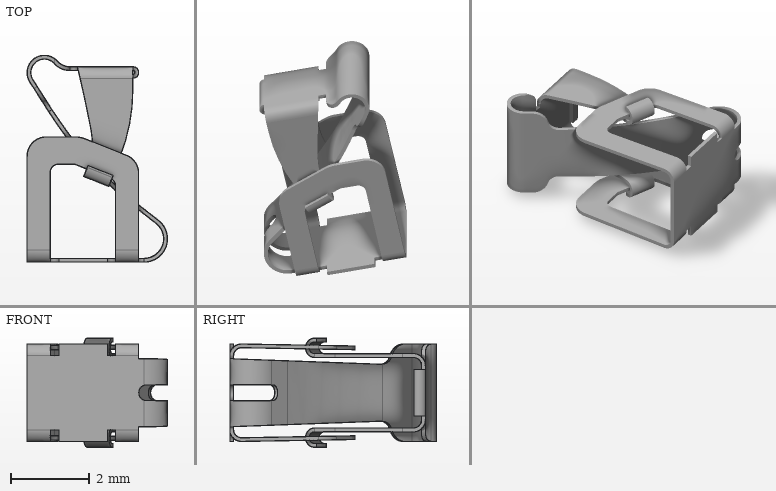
import cadquery as cq
import math

overall_length = 5.3
overall_height = 2.8
overall_width = 3.6
sheet = 0.1
half_sheet = sheet / 2
bend_outer = 0.3
bend_inner = bend_outer - sheet

frame_width = 2.86
plate_half_height = 1.25
arm_fold_z = plate_half_height - bend_outer
arm_width = 0.6
tab_left = 0.815
tab_right = 2.065

arm_lean = 1.0
arm_end = 3.21
arm_band = 0.705
knee_x = 1.225
slope_angle = 21.7
arm_left_radius = 0.5
arm_right_radius = 0.5
arm_inner_radius = 0.2

lower_radius = 0.6
lower_mid = lower_radius - half_sheet
lower_center = (overall_width - lower_radius, lower_radius)
lower_heading = 142.0
upper_heading = 122.5
leaf_radius = 9.75
leaf_root_half = 0.875
leaf_neck_half = 0.73
shoulder_radius = 0.425
neck_radius = 0.3
loop_radius = 0.445
loop_mid = loop_radius - half_sheet
loop_center = (loop_radius, overall_length - loop_radius)
slot_half = 0.2
slot_end_x = 2.86
slot_overrun = 0.055

bar_back = 5.01
bar_mid = bar_back - half_sheet
bar_start = 1.095
loop_corner_radius = 0.4
bar_end = 2.715
bar_half = 0.6
hem_outer = frame_width - bar_end
hem_tail_x = 2.535
flap_top = 1.0
flap_fold_z = flap_top - bend_outer
flap_left = 1.29
flap_waist = (1.645, 3.36)
flap_upper_bulge = (1.505, 4.045)
flap_lower_bulge = (1.66, 2.89)
flap_right_radius = 4.665
flap_right_straight = 4.42

hook_start = (1.54, 2.43)
hook_length = 0.695
hook_lip = 0.055
hook_top = overall_height / 2
hook_outer = (hook_top - flap_top + sheet) / 2


def polar(center, radius, angle):
    """Point at an angle in degrees on a circle."""
    a = math.radians(angle)
    return (center[0] + radius * math.cos(a), center[1] + radius * math.sin(a))


def ring_sector(plane, center, outer, start, end):
    """Closed outline, one sheet thick, of a bend between two angles."""
    inner = outer - sheet
    middle = (start + end) / 2
    return (
        cq.Workplane(plane)
        .moveTo(*polar(center, outer, start))
        .threePointArc(polar(center, outer, middle), polar(center, outer, end))
        .lineTo(*polar(center, inner, end))
        .threePointArc(polar(center, inner, middle), polar(center, inner, start))
        .close()
    )


def bend(center, outer, start, end, half_height):
    """Bend in the XY plane, centered on z = 0."""
    return ring_sector("XY", center, outer, start, end).extrude(half_height, both=True)


def block(x0, x1, y0, y1, half_height):
    """Box centered on z = 0."""
    box = cq.Workplane("XY").box(x1 - x0, y1 - y0, 2 * half_height, centered=(False, False, True))
    return box.translate((x0, y0, 0))


def round_corner(prism, corner, radius):
    """Round the upright edge of a full-height prism that stands on an XY corner."""
    nearest = cq.selectors.NearestToPointSelector((*corner, overall_height / 2))
    return prism.edges(nearest).fillet(radius)


def folded_sheet(fold_y, fold_z, start, end, length):
    """Quarter fold about an X axis followed by a straight sheet leaving its end."""
    center = (fold_y, fold_z)
    fold = ring_sector("YZ", center, bend_outer, start, end).extrude(overall_width)
    onward = end + math.copysign(90, end - start)
    outer_end = polar(center, bend_outer, end)
    inner_end = polar(center, bend_inner, end)
    outer_tip = polar(outer_end, length, onward)
    inner_tip = polar(inner_end, length, onward)
    straight = (
        cq.Workplane("YZ")
        .polyline([outer_end, outer_tip, inner_tip, inner_end])
        .close()
        .extrude(overall_width)
    )
    return fold.union(straight)


def both_sides(body):
    """The body together with its mirror image below the XY plane."""
    return body.union(body.mirror("XY"))


def base_plate():
    plate = block(0, frame_width, 0, sheet, arm_fold_z)
    tab = block(tab_left, tab_right, 0, sheet, plate_half_height)
    root = block(frame_width, lower_center[0], 0, sheet, leaf_root_half)
    return plate.union(tab).union(root)


def arm():
    knee = (knee_x, arm_end - arm_band)
    slope = math.radians(slope_angle)
    slope_start = polar(knee, arm_band, 90 - slope_angle)
    right_corner_y = slope_start[1] - (frame_width - slope_start[0]) * math.tan(slope)
    inner_right = frame_width - arm_width
    inner_corner_y = knee[1] - (inner_right - knee_x) * math.tan(slope)
    outer = (
        cq.Workplane("XY")
        .lineTo(0, arm_end)
        .lineTo(knee_x, arm_end)
        .threePointArc(polar(knee, arm_band, 90 - slope_angle / 2), slope_start)
        .lineTo(frame_width, right_corner_y)
        .lineTo(frame_width, 0)
        .close()
        .extrude(overall_height)
    )
    outer = round_corner(outer, (0, arm_end), arm_left_radius)
    outer = round_corner(outer, (frame_width, right_corner_y), arm_right_radius)
    window = (
        cq.Workplane("XY")
        .moveTo(arm_width, 0)
        .lineTo(arm_width, knee[1])
        .lineTo(*knee)
        .lineTo(inner_right, inner_corner_y)
        .lineTo(inner_right, 0)
        .close()
        .extrude(overall_height)
    )
    for corner in [(arm_width, knee[1]), (inner_right, inner_corner_y)]:
        window = round_corner(window, corner, arm_inner_radius)
    sheet_body = folded_sheet(bend_outer, arm_fold_z, 180, 90 - arm_lean, overall_length)
    return sheet_body.intersect(outer.cut(window))


def leaf():
    rise_start = polar(lower_center, lower_mid, lower_heading - 90)
    rise_end = polar(loop_center, loop_mid, upper_heading + 90)
    turn = math.radians(lower_heading - upper_heading)
    span = (rise_end[0] - rise_start[0], rise_end[1] - rise_start[1])
    upper = polar((0, 0), 1, upper_heading)
    lower = polar((0, 0), 1, lower_heading)
    to_corner = (span[0] * upper[1] - span[1] * upper[0]) / (lower[0] * upper[1] - lower[1] * upper[0])
    tangent = leaf_radius * math.tan(turn / 2)
    corner = polar(rise_start, to_corner, lower_heading)
    neck = polar(corner, tangent, upper_heading)
    leaf_center = polar(neck, leaf_radius, upper_heading - 90)
    lower_length = to_corner - tangent

    straight = (
        cq.Workplane(cq.Plane((*rise_start, 0), (*lower, 0), (0, 0, 1)))
        .rect(lower_length, sheet)
        .extrude(leaf_root_half, both=True)
        .translate((lower[0] * lower_length / 2, lower[1] * lower_length / 2, 0))
    )
    taper = (
        cq.Workplane("YZ")
        .polyline([
            (0, leaf_root_half),
            (neck[1], leaf_neck_half),
            (overall_length, leaf_neck_half),
            (overall_length, -leaf_neck_half),
            (neck[1], -leaf_neck_half),
            (0, -leaf_root_half),
        ])
        .close()
        .extrude(overall_width)
    )
    lower_bend = bend(lower_center, lower_radius, -90, lower_heading - 90, leaf_root_half)
    leaf_outer = leaf_radius + half_sheet
    shallow = bend(leaf_center, leaf_outer, upper_heading + 90, lower_heading + 90, leaf_root_half)
    lower_leaf = lower_bend.union(straight).union(shallow).intersect(taper)

    widening = plate_half_height - leaf_neck_half
    radii = neck_radius + shoulder_radius
    sweep = math.degrees(math.acos(1 - widening / radii))
    blend = radii * math.sin(math.radians(sweep))
    hollow = (0, leaf_neck_half + neck_radius)
    rounding = (blend, plate_half_height - shoulder_radius)
    length = math.dist(neck, rise_end)
    shoulder = (
        cq.Workplane(cq.Plane((*neck, 0), (*upper, 0), (upper[1], -upper[0], 0)))
        .lineTo(0, leaf_neck_half)
        .threePointArc(polar(hollow, neck_radius, -90 + sweep / 2), polar(hollow, neck_radius, -90 + sweep))
        .threePointArc(polar(rounding, shoulder_radius, 90 + sweep / 2), (blend, plate_half_height))
        .lineTo(length, plate_half_height)
        .lineTo(length, 0)
        .close()
        .extrude(half_sheet, both=True)
    )
    return lower_leaf.union(both_sides(shoulder))


def leaf_slot():
    root_x = slot_end_x + slot_half
    root_end = cq.Workplane("XZ").center(root_x, 0).circle(slot_half).extrude(-lower_radius)
    root = block(root_x, overall_width, 0, lower_radius, slot_half)
    around = bend(lower_center, lower_radius, 0, lower_heading - 90, slot_half)
    along = polar((0, 0), 1, lower_heading)
    rise_start = polar(lower_center, lower_mid, lower_heading - 90)
    rise_plane = cq.Workplane(cq.Plane((*rise_start, 0), (*along, 0), (along[1], -along[0], 0)))
    rise_end = rise_plane.center(slot_overrun, 0).circle(slot_half).extrude(sheet, both=True)
    rise = rise_plane.rect(2 * slot_overrun, 2 * slot_half).extrude(sheet, both=True)
    return root_end.union(root).union(around).union(rise).union(rise_end)


def loop():
    dx = bar_start - loop_center[0]
    dy = bar_mid - loop_center[1]
    return_mid = (dx ** 2 + dy ** 2 - loop_mid ** 2) / (2 * (loop_mid - dy))
    return_center = (bar_start, bar_mid + return_mid)
    join = math.degrees(math.atan2(dy + return_mid, dx))
    top = bend(loop_center, loop_radius, join, upper_heading + 90, plate_half_height)
    back = bend(return_center, return_mid + half_sheet, join + 180, 270, plate_half_height)
    rounded = (
        cq.Workplane("XZ")
        .rect(2 * bar_start, 2 * plate_half_height)
        .extrude(-overall_length)
        .edges("|Y and >X")
        .fillet(loop_corner_radius)
    )
    return top.union(back).intersect(rounded)


def contact_bar():
    front = bar_back - sheet
    bar = block(bar_start, bar_end, front, bar_back, bar_half)
    folded = block(flap_left, bar_end, front, bar_back, flap_fold_z)
    hem_center = (bar_end, bar_back - hem_outer)
    hem = bend(hem_center, hem_outer, -90, 90, bar_half)
    tail_y = bar_back - 2 * hem_outer
    tail = block(hem_tail_x, bar_end, tail_y, tail_y + sheet, bar_half)
    return bar.union(folded).union(hem).union(tail)


def flap():
    hook_right = polar(hook_start, hook_length, -slope_angle)
    right_center = (bar_end - flap_right_radius, flap_right_straight)
    right_end = polar(right_center, flap_right_radius, -slope_angle)
    outline = (
        cq.Workplane("XY")
        .moveTo(bar_end, bar_back)
        .lineTo(bar_end, flap_right_straight)
        .threePointArc(polar(right_center, flap_right_radius, -slope_angle / 2), right_end)
        .lineTo(*hook_right)
        .lineTo(*hook_start)
        .threePointArc(flap_lower_bulge, flap_waist)
        .threePointArc(flap_upper_bulge, (flap_left, bar_back))
        .close()
        .extrude(overall_height)
    )
    sheet_body = folded_sheet(bar_back - bend_outer, flap_fold_z, 0, 90, overall_length)
    body = sheet_body.intersect(outline)

    along = polar((0, 0), 1, -slope_angle)
    away = polar((0, 0), 1, -90 - slope_angle)
    center_z = hook_top - hook_outer
    inner = hook_outer - sheet
    profile_plane = cq.Plane((*hook_right, center_z), (*away, 0), (-along[0], -along[1], 0))
    hook = (
        cq.Workplane(profile_plane)
        .moveTo(0, hook_outer)
        .threePointArc((hook_outer, 0), (0, -hook_outer))
        .lineTo(0, -inner)
        .threePointArc((inner, 0), (0, inner))
        .lineTo(-hook_lip, inner)
        .lineTo(-hook_lip, hook_outer)
        .close()
        .extrude(hook_length)
    )
    return body.union(hook)


result = (
    base_plate()
    .union(leaf())
    .cut(leaf_slot())
    .union(both_sides(arm()))
    .union(loop())
    .union(contact_bar())
    .union(both_sides(flap()))
)